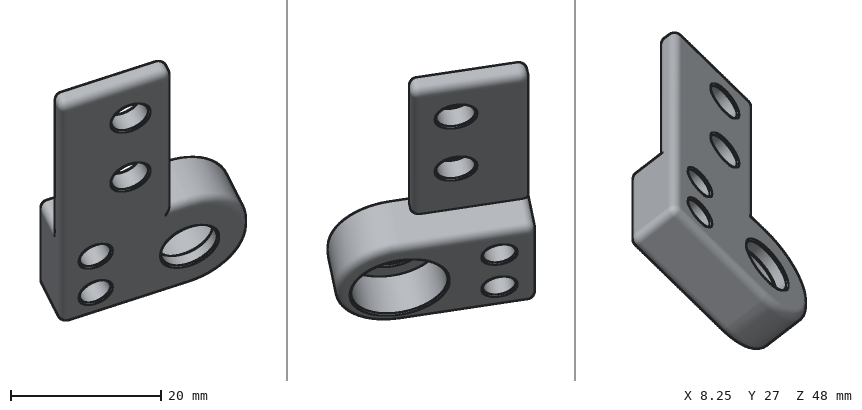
import cadquery as cq

height = 48.0
length = 27.0
thickness = 8.25

plate_thickness = 3.2
plate_width = 16.0
block_height = 18.0
nose_radius = 8.5
edge_radius = 1.2

bore_diameter = 8.0
counterbore_diameter = 13.05
counterbore_depth = 6.1
bore_y = length - nose_radius
bore_z = nose_radius

plate_hole_diameter = 5.3
plate_hole_y = 10.0
plate_hole_heights = (28.0, 41.0)
block_hole_diameter = 4.4
block_hole_y = 5.0
block_hole_heights = (5.0, 13.0)
hole_chamfer = 0.25


def make_plate():
    """Upright plate, rounded on every edge."""
    plate = cq.Workplane("XY").box(plate_thickness, plate_width, height, centered=False)
    plate = plate.edges().fillet(edge_radius)
    return plate.translate((thickness - plate_thickness, 0, 0))


def make_block():
    """Bearing block with two large nose corners and all other edges rounded."""
    block = cq.Workplane("XY").box(thickness, length, block_height, centered=False)
    block = block.faces(">Y").edges("|X").fillet(nose_radius)
    square_corners = block.faces("<Y").edges("|X")
    face_outlines = block.faces("<X or >X").edges()
    side_outlines = block.faces("<Y").edges("|Z")
    return block.newObject(
        square_corners.vals() + face_outlines.vals() + side_outlines.vals()
    ).fillet(edge_radius)


def hole_cutter(diameter, y, z, start_x, end_x):
    """Cylinder along X that flares into a small chamfer at both ends."""
    radius = diameter / 2
    flare = radius + hole_chamfer
    profile = [
        (start_x, 0),
        (start_x, flare),
        (start_x + hole_chamfer, radius),
        (end_x - hole_chamfer, radius),
        (end_x, flare),
        (end_x, 0),
    ]
    cutter = cq.Workplane("XY").polyline(profile).close().revolve(360, (0, 0), (1, 0))
    return cutter.translate((0, y, z))


def counterbore_cutter():
    """Blind pocket along X with a chamfered mouth and a flat floor."""
    radius = counterbore_diameter / 2
    profile = [
        (0, 0),
        (0, radius + hole_chamfer),
        (hole_chamfer, radius),
        (counterbore_depth, radius),
        (counterbore_depth, 0),
    ]
    cutter = cq.Workplane("XY").polyline(profile).close().revolve(360, (0, 0), (1, 0))
    return cutter.translate((0, bore_y, bore_z))


result = make_plate().union(make_block())

result = result.cut(counterbore_cutter())
result = result.cut(hole_cutter(bore_diameter, bore_y, bore_z, counterbore_depth, thickness))

for hole_z in block_hole_heights:
    result = result.cut(hole_cutter(block_hole_diameter, block_hole_y, hole_z, 0, thickness))

plate_face_x = thickness - plate_thickness
for hole_z in plate_hole_heights:
    result = result.cut(
        hole_cutter(plate_hole_diameter, plate_hole_y, hole_z, plate_face_x, thickness)
    )